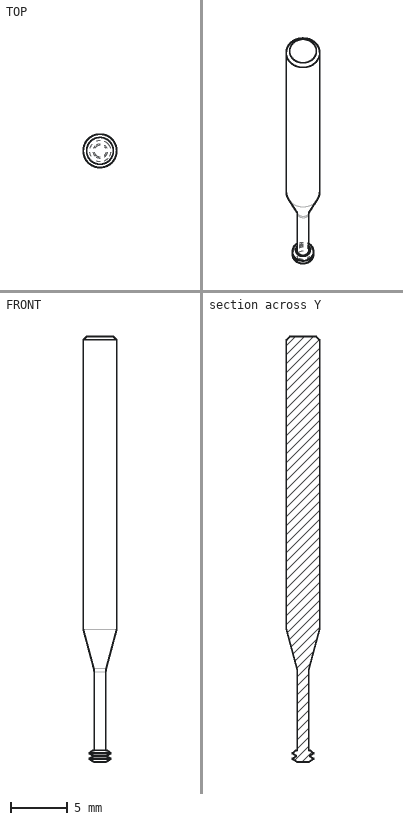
import cadquery as cq
import math

total_length = 38.0
shank_radius = 3.0 / 2
shank_chamfer = 0.3
shank_bottom = 11.85

neck_radius = 1.05 / 2
taper_half_angle = 15.0
neck_blend_radius = 1.33

tooth_radius = 1.9 / 2
root_radius = 1.3 / 2
tooth_count = 2
tooth_pitch = 0.5
crest_width = 0.06
root_width = 0.06
first_tooth_height = 0.3
head_top = 1.05
tip_radius = neck_radius

taper_angle = math.radians(taper_half_angle)
taper_length = (shank_radius - neck_radius) / math.tan(taper_angle)
taper_corner = shank_bottom - taper_length
blend_tangent = neck_blend_radius * math.tan(taper_angle / 2)
blend_center_radius = neck_radius + neck_blend_radius
blend_bottom = taper_corner - blend_tangent


def blend_point(angle):
    """Point on the neck blend, with the angle measured up from the neck tangent."""
    return (
        blend_center_radius - neck_blend_radius * math.cos(angle),
        blend_bottom + neck_blend_radius * math.sin(angle),
    )


def add_teeth(profile):
    """Continue the outline up the ring teeth, with narrow flat roots between them."""
    for index in range(tooth_count):
        height = first_tooth_height + index * tooth_pitch
        if index > 0:
            root_height = height - tooth_pitch / 2
            profile = profile.lineTo(root_radius, root_height - root_width / 2)
            profile = profile.lineTo(root_radius, root_height + root_width / 2)
        profile = profile.lineTo(tooth_radius, height - crest_width / 2)
        profile = profile.lineTo(tooth_radius, height + crest_width / 2)
    return profile


profile = cq.Workplane("XZ").lineTo(tip_radius, 0)
profile = add_teeth(profile)
profile = (
    profile.lineTo(root_radius, head_top)
    .lineTo(neck_radius, head_top)
    .lineTo(neck_radius, blend_bottom)
    .threePointArc(blend_point(taper_angle / 2), blend_point(taper_angle))
    .lineTo(shank_radius, shank_bottom)
    .lineTo(shank_radius, total_length - shank_chamfer)
    .lineTo(shank_radius - shank_chamfer, total_length)
    .lineTo(0, total_length)
    .close()
)

result = profile.revolve(360, (0, 0, 0), (0, 1, 0))